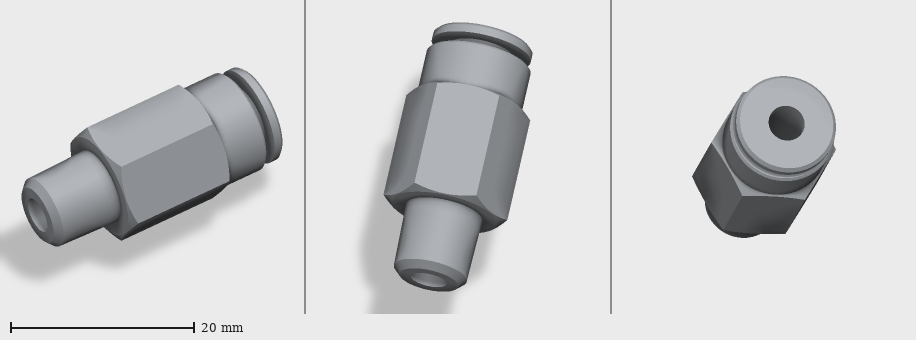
import cadquery as cq
import math

total_length = 28.35
hex_start = 8.0
hex_end = 21.05
body_end = 26.02
flare_end = 26.53
collar_start = 27.12

tip_chamfer = 0.8
stub_tip_diameter = 8.15
stub_root_diameter = 8.55

across_flats = 12.0
hex_front_face_diameter = 11.7
hex_chamfer_angle = 30.0

body_diameter = 11.62
body_chamfer = 0.25
flare_diameter = 8.9
neck_diameter = 7.15
collar_diameter = 11.08
collar_chamfer = 0.37

bore_diameter = 4.0


def revolve_about_y(outline):
    """Revolve an outline of (radius, y) points that is closed along the Y axis."""
    return cq.Workplane("XY").polyline(outline).close().revolve(360, (0, 0, 0), (0, 1, 0))


def make_stub():
    tip_radius = stub_tip_diameter / 2
    return revolve_about_y([
        (0, 0),
        (tip_radius - tip_chamfer, 0),
        (tip_radius, tip_chamfer),
        (stub_root_diameter / 2, hex_start),
        (0, hex_start),
    ])


def make_hexagon():
    across_corners = across_flats / math.cos(math.radians(30))
    corner_radius = across_corners / 2
    front_face_radius = hex_front_face_diameter / 2
    back_face_radius = body_diameter / 2
    rim_radius = corner_radius + 0.28
    chamfer_slope = math.tan(math.radians(hex_chamfer_angle))
    front_setback = (rim_radius - front_face_radius) * chamfer_slope
    back_setback = (rim_radius - back_face_radius) * chamfer_slope
    prism = (
        cq.Workplane("XZ", origin=(0, hex_start, 0))
        .polygon(6, across_corners)
        .extrude(hex_start - hex_end)
    )
    chamfer_envelope = revolve_about_y([
        (0, hex_start),
        (front_face_radius, hex_start),
        (rim_radius, hex_start + front_setback),
        (rim_radius, hex_end - back_setback),
        (back_face_radius, hex_end),
        (0, hex_end),
    ])
    return prism.intersect(chamfer_envelope)


def make_body_and_collar():
    body_radius = body_diameter / 2
    neck_radius = neck_diameter / 2
    collar_radius = collar_diameter / 2
    return revolve_about_y([
        (0, hex_end),
        (body_radius, hex_end),
        (body_radius, body_end - body_chamfer),
        (body_radius - body_chamfer, body_end),
        (flare_diameter / 2, body_end),
        (neck_radius, flare_end),
        (neck_radius, collar_start),
        (collar_radius, collar_start),
        (collar_radius, total_length - collar_chamfer),
        (collar_radius - collar_chamfer, total_length),
        (0, total_length),
    ])


def make_bore():
    return cq.Workplane("XZ").circle(bore_diameter / 2).extrude(-total_length)


result = make_stub().union(make_hexagon()).union(make_body_and_collar()).cut(make_bore())